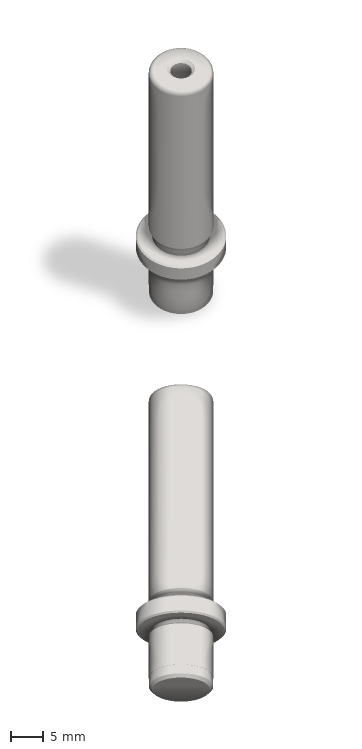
import cadquery as cq
import math

total_height = 50.0
body_radius = 5.0
flange_radius = 7.0
flange_bottom = 10.0
flange_top = 13.0
flange_chamfer = 0.25
groove_radius = 4.5
lower_groove_height = 1.0
upper_groove_height = 2.0
lower_groove_taper_height = 0.35
tip_round = 1.0

lead_diameter = 9.95
lead_radius = lead_diameter / 2
lead_height = 2.0
lead_chamfer = 0.5

hole_radius = 1.65
hole_depth = 10.0
countersink_radius = 2.15
drill_point_angle = 118.0

upper_groove_chamfer = body_radius - groove_radius
lower_groove_bottom = flange_bottom - lower_groove_height
upper_groove_top = flange_top + upper_groove_height


def make_pin():
    """Revolve the stepped half profile about Z; profile points are (radius, height)."""
    round_start = total_height - tip_round
    round_center_radius = body_radius - tip_round
    round_offset = tip_round * math.sqrt(0.5)
    round_middle = (round_center_radius + round_offset, round_start + round_offset)
    return (
        cq.Workplane("XZ")
        .lineTo(lead_radius - lead_chamfer, 0)
        .lineTo(lead_radius, lead_chamfer)
        .lineTo(lead_radius, lead_height)
        .lineTo(body_radius, lead_height)
        .lineTo(body_radius, lower_groove_bottom)
        .lineTo(groove_radius, lower_groove_bottom + lower_groove_taper_height)
        .lineTo(groove_radius, flange_bottom)
        .lineTo(flange_radius - flange_chamfer, flange_bottom)
        .lineTo(flange_radius, flange_bottom + flange_chamfer)
        .lineTo(flange_radius, flange_top - flange_chamfer)
        .lineTo(flange_radius - flange_chamfer, flange_top)
        .lineTo(groove_radius, flange_top)
        .lineTo(groove_radius, upper_groove_top - upper_groove_chamfer)
        .lineTo(body_radius, upper_groove_top)
        .lineTo(body_radius, round_start)
        .threePointArc(round_middle, (round_center_radius, total_height))
        .lineTo(0, total_height)
        .close()
        .revolve(360, (0, 0), (0, 1))
    )


def make_hole():
    """Countersunk drilled hole with a conical bottom, as a solid to cut away."""
    countersink_depth = countersink_radius - hole_radius
    hole_bottom = total_height - hole_depth
    point_depth = hole_radius / math.tan(math.radians(drill_point_angle / 2))
    return (
        cq.Workplane("XZ")
        .moveTo(0, total_height)
        .lineTo(countersink_radius, total_height)
        .lineTo(hole_radius, total_height - countersink_depth)
        .lineTo(hole_radius, hole_bottom)
        .lineTo(0, hole_bottom - point_depth)
        .close()
        .revolve(360, (0, 0), (0, 1))
    )


result = make_pin().cut(make_hole())